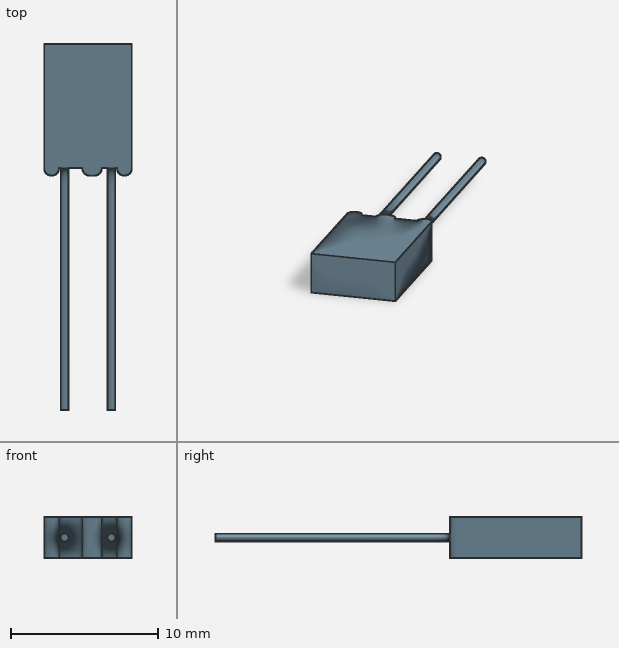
import cadquery as cq

overall_length = 24.85
body_width = 5.97
body_height = 2.8
body_length = 8.95

foot_depth = 0.52
corner_foot_width = 1.02
middle_foot_flat = 0.3
middle_foot_offset = 0.27
corner_foot_radius = corner_foot_width / 2
middle_foot_radius = foot_depth

lead_diameter = 0.55
lead_pitch = 3.18

tip_y = 0.0
back_y = tip_y + overall_length
foot_end_y = back_y - body_length
seat_y = foot_end_y + foot_depth

half_width = body_width / 2
lead_height = body_height / 2


def make_bar(x, width, start_y, end_y):
    """Full-height bar centred on x, running from start_y to end_y."""
    length = end_y - start_y
    return cq.Workplane("XY", origin=(x, start_y + length / 2, 0)).rect(width, length).extrude(body_height)


def make_round(x, radius):
    """Upright cylinder that touches the plane of the foot ends."""
    return cq.Workplane("XY", origin=(x, foot_end_y + radius, 0)).circle(radius).extrude(body_height)


def make_corner_foot(side):
    """Rounded foot flush with one long side of the housing (-1 left, 1 right)."""
    rounded_end = make_round(side * (half_width - corner_foot_radius), corner_foot_radius)
    outer_half = make_bar(
        side * (half_width - corner_foot_radius / 2),
        corner_foot_radius,
        foot_end_y + corner_foot_radius,
        seat_y,
    )
    return rounded_end.union(outer_half)


def make_middle_foot():
    """Off-centre foot with a narrow flat between two rounded sides."""
    foot = make_bar(middle_foot_offset, middle_foot_flat, foot_end_y, seat_y)
    for side in (-1, 1):
        foot = foot.union(make_round(middle_foot_offset + side * middle_foot_flat / 2, middle_foot_radius))
    return foot


def make_housing():
    """Block standing on two corner feet and one middle foot."""
    block = make_bar(0, body_width, seat_y, back_y)
    block = block.union(make_middle_foot())
    for side in (-1, 1):
        block = block.union(make_corner_foot(side))
    return block.clean()


def make_lead(x):
    """Straight round wire running from the seat face of the housing to its tip."""
    return (
        cq.Workplane("XZ", origin=(x, seat_y, lead_height))
        .circle(lead_diameter / 2)
        .extrude(seat_y - tip_y)
    )


housing = make_housing()
leads = [make_lead(side * lead_pitch / 2) for side in (-1, 1)]

result = cq.Compound.makeCompound([housing.val(), *[lead.val() for lead in leads]])